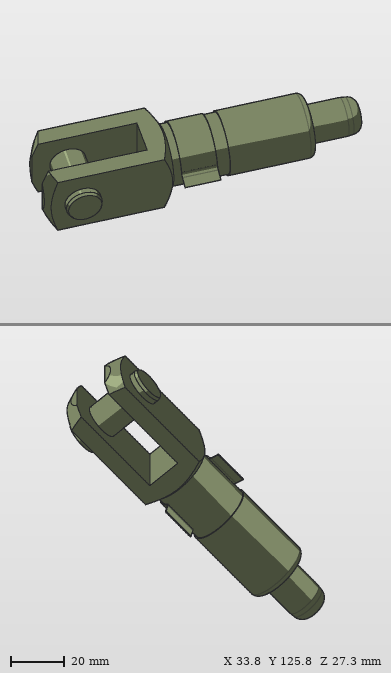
import cadquery as cq
import math


fork_width = 27.0
fork_start = -14.0
fork_end = 36.0
slot_width = 14.0
slot_end = 27.0
tip_flat_radius = 10.0
tip_cone_angle = 25.0
shoulder_cone_angle = 30.0

pin_diameter = 14.0
pin_length = 33.75
pin_right = pin_length / 2
pin_left = -pin_right
pin_chamfer_length = 1.25
pin_chamfer_depth = 0.5

neck_radius = 12.0
neck_end = 58.0
body_radius = 12.5
body_end = 91.75
body_fillet = 2.25
plunger_radius = 7.5
plunger_end = 111.75
plunger_nose_radius = 7.25
plunger_nose_length = 6.0
plunger_nose_fillet = 4.0

clip_start = 39.0
clip_width = 14.0
clip_thickness = 0.5
clip_opening_direction = -64.4
clip_bend_start = 76.0
clip_leg_angle = 37.0
clip_bend_radius = 2.2
clip_leg_length = 3.94


def polar(center, radius, angle):
    """Point at a radius and an angle in degrees from a center."""
    turn = math.radians(angle)
    return (center[0] + radius * math.cos(turn), center[1] + radius * math.sin(turn))


def turned(points):
    """Solid of revolution around the Y axis from (radius, y) points."""
    return cq.Workplane("XY").polyline(points).close().revolve(360, (0, 0, 0), (0, 1, 0))


def disc(radius, y_from, y_to):
    """Cylinder on the Y axis between two y positions."""
    return turned([(0, y_from), (radius, y_from), (radius, y_to), (0, y_to)])


def make_fork():
    """Square bar with a cone turned on each end, slotted from the open end."""
    length = fork_end - fork_start
    middle = (fork_start + fork_end) / 2
    bar = cq.Workplane("XY").box(fork_width, length, fork_width).translate((0, middle, 0))

    envelope_radius = fork_width
    tip_drop = (envelope_radius - tip_flat_radius) * math.tan(math.radians(tip_cone_angle))
    shoulder_drop = (envelope_radius - neck_radius) * math.tan(math.radians(shoulder_cone_angle))
    envelope = turned([
        (0, fork_start),
        (tip_flat_radius, fork_start),
        (envelope_radius, fork_start + tip_drop),
        (envelope_radius, fork_end - shoulder_drop),
        (neck_radius, fork_end),
        (0, fork_end),
    ])

    slot_length = slot_end - fork_start
    slot = (
        cq.Workplane("XY")
        .box(slot_width, slot_length, fork_width)
        .translate((0, fork_start + slot_length / 2, 0))
    )
    return bar.intersect(envelope).cut(slot)


def make_pin():
    """Clevis pin along X, chamfered on its +X end."""
    radius = pin_diameter / 2
    profile = [
        (pin_left, 0),
        (pin_left, radius),
        (pin_right - pin_chamfer_length, radius),
        (pin_right, radius - pin_chamfer_depth),
        (pin_right, 0),
    ]
    return cq.Workplane("XY").polyline(profile).close().revolve(360, (0, 0, 0), (1, 0, 0))


def make_stem():
    """Neck, body and round-nosed plunger on the Y axis."""
    neck = disc(neck_radius, fork_end, neck_end)
    body = disc(body_radius, neck_end, body_end).faces(">Y").edges().fillet(body_fillet)
    nose_start = plunger_end - plunger_nose_length
    arc_center = (plunger_nose_radius - plunger_nose_fillet, plunger_end - plunger_nose_fillet)
    plunger = (
        cq.Workplane("XY")
        .moveTo(0, body_end)
        .lineTo(plunger_radius, body_end)
        .lineTo(plunger_radius, nose_start)
        .lineTo(plunger_nose_radius, arc_center[1])
        .threePointArc(polar(arc_center, plunger_nose_fillet, 45), (arc_center[0], plunger_end))
        .lineTo(0, plunger_end)
        .close()
        .revolve(360, (0, 0, 0), (0, 1, 0))
    )
    return neck.union(body).union(plunger)


def mirrored(point):
    """Point on the other side of the clip's symmetry line."""
    return (point[0], -point[1])


def make_clip():
    """Bent strip, outlined with its opening along local x and then turned into place."""
    axis = (0, 0)
    outer = neck_radius + clip_thickness
    bend_center = polar(axis, outer + clip_bend_radius, clip_bend_start)
    bend_from = clip_bend_start + 180
    bend_to = clip_leg_angle + 270
    bend_middle = (bend_from + bend_to) / 2
    inner_bend_radius = clip_bend_radius + clip_thickness

    outer_ring_end = polar(axis, outer, clip_bend_start)
    outer_bend_middle = polar(bend_center, clip_bend_radius, bend_middle)
    outer_bend_end = polar(bend_center, clip_bend_radius, bend_to)
    outer_tip = polar(outer_bend_end, clip_leg_length, clip_leg_angle)
    inner_ring_end = polar(axis, neck_radius, clip_bend_start)
    inner_bend_middle = polar(bend_center, inner_bend_radius, bend_middle)
    inner_bend_end = polar(bend_center, inner_bend_radius, bend_to)
    inner_tip = polar(inner_bend_end, clip_leg_length, clip_leg_angle)

    strip = (
        cq.Workplane("XZ")
        .moveTo(*outer_ring_end)
        .threePointArc((-outer, 0), mirrored(outer_ring_end))
        .threePointArc(mirrored(outer_bend_middle), mirrored(outer_bend_end))
        .lineTo(*mirrored(outer_tip))
        .lineTo(*mirrored(inner_tip))
        .lineTo(*mirrored(inner_bend_end))
        .threePointArc(mirrored(inner_bend_middle), mirrored(inner_ring_end))
        .threePointArc((-neck_radius, 0), inner_ring_end)
        .threePointArc(inner_bend_middle, inner_bend_end)
        .lineTo(*inner_tip)
        .lineTo(*outer_tip)
        .lineTo(*outer_bend_end)
        .threePointArc(outer_bend_middle, outer_ring_end)
        .close()
        .extrude(-clip_width)
    )
    strip = strip.rotate((0, 0, 0), (0, 1, 0), -clip_opening_direction)
    return strip.translate((0, clip_start, 0))


result = make_fork().union(make_pin()).union(make_stem()).union(make_clip())